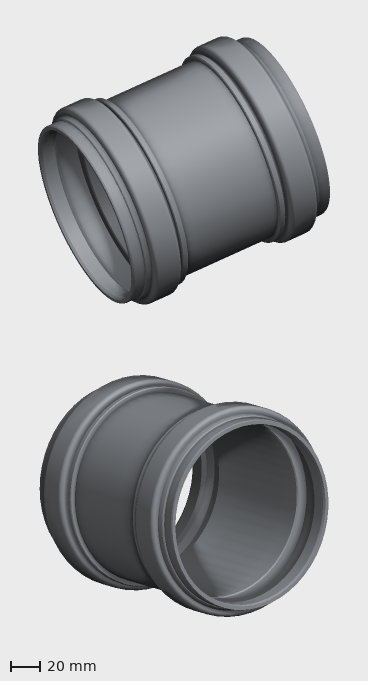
import cadquery as cq

length = 156.0
half_length = length / 2
tube_radius = 133.2 / 2
spigot_radius = 133.5 / 2
bore_radius = 125.6 / 2

mouth_radius = 125.9 / 2
lip_length = 1.1
lip_drop = 0.5
mouth_chamfer = 0.8
mouth_chamfer_length = 1.9

step_start = 9.7
step_small_radius = 68.0
step_chamfer = 0.6
step_large_radius = 69.0

collar_radius = 147.7 / 2
collar_start = 13.4
collar_end = 34.8
collar_rounding = 3.0
neck_chamfer = 0.6
groove_radius = 70.5
groove_start = 11.7
groove_entry_radius = 67.1
groove_full_start = 16.4
groove_end = 31.5
bore_chamfer = 0.8

flange_radius = 140.2 / 2
flange_start = 37.3
flange_end = 41.8
flange_chamfer = 0.6


def revolve_profile(points):
    """Revolve a closed outline of (radius, y) points around the Y axis."""
    outline = cq.Workplane("XY").polyline(points).close()
    return outline.revolve(360, (0, 0, 0), (0, 1, 0))


def ring(radius, start, end):
    """Solid disc between two distances from the +Y end."""
    return revolve_profile([
        (0, half_length - start),
        (radius, half_length - start),
        (radius, half_length - end),
        (0, half_length - end),
    ])


def outer_end():
    """Collar with bevelled neck, conical step and flange at the +Y end."""
    collar = ring(collar_radius, collar_start, collar_end).edges().fillet(collar_rounding)
    step = revolve_profile([
        (0, half_length - step_start + step_chamfer),
        (step_small_radius - step_chamfer, half_length - step_start + step_chamfer),
        (step_small_radius, half_length - step_start),
        (step_large_radius, half_length - collar_start),
        (tube_radius + neck_chamfer, half_length - collar_end),
        (tube_radius, half_length - collar_end - neck_chamfer),
        (0, half_length - collar_end - neck_chamfer),
    ])
    flange = ring(flange_radius, flange_start, flange_end).edges().chamfer(flange_chamfer)
    return collar.union(step).union(flange)


def socket_cavity():
    """Chamfered mouth, seal groove and chamfered bore entry at the +Y end."""
    return revolve_profile([
        (0, half_length),
        (mouth_radius + mouth_chamfer, half_length),
        (mouth_radius, half_length - mouth_chamfer_length),
        (mouth_radius, half_length - groove_start),
        (groove_entry_radius, half_length - groove_start),
        (groove_radius, half_length - groove_full_start),
        (groove_radius, half_length - groove_end),
        (bore_radius + bore_chamfer, half_length - groove_end),
        (bore_radius, half_length - groove_end - bore_chamfer),
        (0, half_length - groove_end - bore_chamfer),
    ])


def at_both_ends(shape):
    """Join a shape with its mirror image at the -Y end."""
    return shape.union(shape.mirror("XZ"))


def spigot():
    """Slightly wider bevelled tube end at the +Y end."""
    return revolve_profile([
        (0, half_length - collar_end),
        (spigot_radius, half_length - collar_end),
        (spigot_radius, half_length - lip_length),
        (spigot_radius - lip_drop, half_length),
        (0, half_length),
    ])


tube = ring(tube_radius, collar_start, length - collar_start)
bore = ring(bore_radius, 0, length)
body = tube.union(at_both_ends(spigot().union(outer_end())))
result = body.cut(at_both_ends(socket_cavity())).cut(bore)